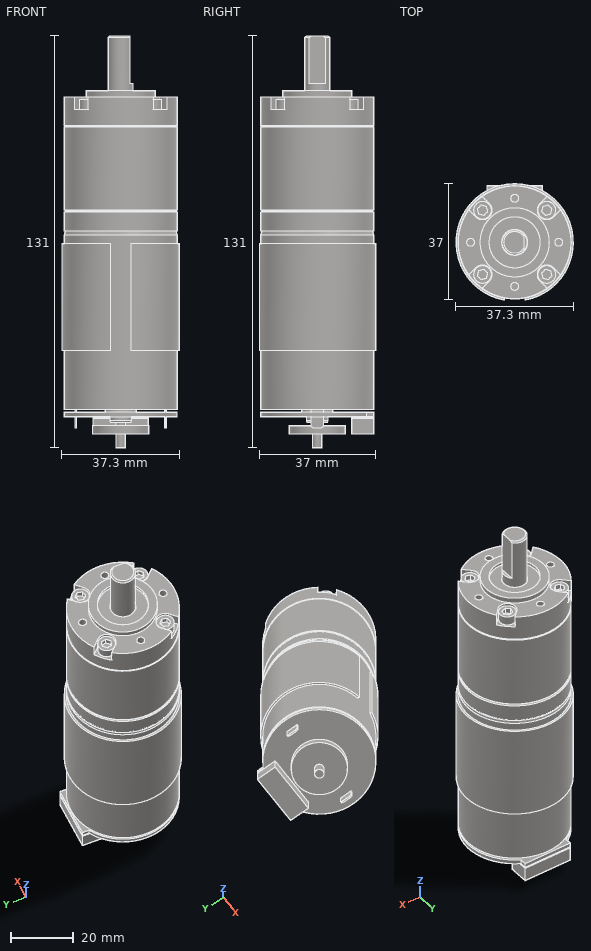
import cadquery as cq
import math


body_d = 36.0

shaft_d = 8.0
shaft_top = 131.0
shaft_chamfer = 0.5
shaft_flat_x = 3.0
shaft_flat_bottom = 116.0

flange_top = 111.6
flange_bottom = 102.0
pilot_d = 22.0
pilot_height = 2.0
recess_d = 16.2
recess_depth = 1.2
shaft_bore_d = 8.3
flange_groove_width = 0.4
flange_groove_depth = 0.1
ring_groove_top = 75.7
ring_groove_width = 0.8
ring_groove_depth = 0.4
gearbox_bottom = 68.9
mount_hole_d = 2.5
mount_hole_depth = 3.9
mount_circle_r = 14.0
screw_offset = 10.2
screw_head_d = 5.6
screw_socket_d = 3.4
screw_socket_depth = 2.0
screw_head_drop = 0.8
notch_width = 6.0
notch_depth = 4.0

motor_bottom = 12.2
motor_chamfer_height = 1.2
motor_chamfer_radial = 0.4
sleeve_d = 37.3
sleeve_top = 65.0
sleeve_bottom = 30.9
sleeve_slot_width = 6.5
rear_boss_d = 10.0
rear_collar_d = 7.0
rear_collar_bottom = 8.1
rear_collar_chamfer_height = 0.5
rear_collar_chamfer_radial = 0.3
motor_shaft_d = 3.0
magnet_d = 18.0
magnet_top = 7.1
magnet_bottom = 4.3
terminal_x = 14.3
terminal_thickness = 0.5
terminal_width = 4.0
terminal_bottom = 6.3
terminal_chamfer = 0.7

board_top = 11.4
board_bottom = 9.8
connector_width = 17.7
connector_depth = 7.1
connector_top = 9.4
connector_bottom = 4.3

body_r = body_d / 2
screw_circle_r = math.hypot(screw_offset, screw_offset)


def cylinder(diameter, bottom, top):
    """Solid cylinder on the Z axis between two heights."""
    return cq.Workplane("XY").workplane(offset=bottom).circle(diameter / 2).extrude(top - bottom)


def block(size_x, size_y, bottom, top, center_x=0.0, center_y=0.0):
    """Upright rectangular block between two heights."""
    return (
        cq.Workplane("XY")
        .workplane(offset=bottom)
        .center(center_x, center_y)
        .rect(size_x, size_y)
        .extrude(top - bottom)
    )


def groove(top, width, depth):
    """Ring-shaped cutter for a V groove around the main body."""
    profile = [(body_r, top), (body_r - depth, top - width / 2), (body_r, top - width)]
    return cq.Workplane("XZ").polyline(profile).close().revolve(360, (0, 0, 0), (0, 1, 0))


def screw_notch():
    """Round-ended cutter, open to the rim, lying on +X before it is turned into place."""
    bottom = flange_top - notch_depth
    round_end = cylinder(notch_width, bottom, flange_top).translate((screw_circle_r, 0, 0))
    open_end = block(body_r, notch_width, bottom, flange_top, screw_circle_r + body_r / 2)
    return round_end.union(open_end)


def screw_head():
    """Socket head, seated on the floor of its notch, on +X before it is turned into place."""
    head_top = flange_top - screw_head_drop
    head = cylinder(screw_head_d, flange_top - notch_depth, head_top)
    socket = (
        cq.Workplane("XY")
        .workplane(offset=head_top)
        .polygon(6, screw_socket_d)
        .extrude(-screw_socket_depth)
        .rotate((0, 0, 0), (0, 0, 1), 90)
    )
    return head.cut(socket).translate((screw_circle_r, 0, 0))


def make_gearbox():
    """Solid gearbox with front flange, pilot boss, shaft bore and screws."""
    pilot_top = flange_top + pilot_height
    gearbox = cylinder(body_d, gearbox_bottom, flange_top)
    gearbox = gearbox.cut(groove(flange_bottom + flange_groove_width, flange_groove_width, flange_groove_depth))
    gearbox = gearbox.cut(groove(ring_groove_top, ring_groove_width, ring_groove_depth))

    for turn in (45, 135, 225, 315):
        gearbox = gearbox.cut(screw_notch().rotate((0, 0, 0), (0, 0, 1), turn))
        gearbox = gearbox.union(screw_head().rotate((0, 0, 0), (0, 0, 1), turn))

    gearbox = gearbox.union(cylinder(pilot_d, flange_top, pilot_top))
    gearbox = gearbox.cut(cylinder(recess_d, pilot_top - recess_depth, pilot_top))
    gearbox = gearbox.cut(cylinder(shaft_bore_d, flange_bottom, pilot_top))

    mount_holes = (
        cq.Workplane("XY")
        .workplane(offset=flange_top - mount_hole_depth)
        .polarArray(mount_circle_r, 0, 360, 4)
        .circle(mount_hole_d / 2)
        .extrude(mount_hole_depth)
    )
    return gearbox.cut(mount_holes)


def make_output_shaft():
    """D shaft standing on the floor of the gearbox bore."""
    shaft = cylinder(shaft_d, flange_bottom, shaft_top).faces(">Z").chamfer(shaft_chamfer)
    flat_cutter = block(shaft_d, shaft_d, shaft_flat_bottom, shaft_top, shaft_flat_x + shaft_d / 2)
    return shaft.cut(flat_cutter)


def terminal(x):
    """Flat solder tab with its two lower corners cut off."""
    tab = block(terminal_thickness, terminal_width, terminal_bottom, motor_bottom, x)
    return tab.faces("<Z").edges("|X").chamfer(terminal_chamfer)


def make_motor():
    """Motor can with its sleeve, rear bosses, shaft, encoder disc and terminals."""
    can = (
        cylinder(body_d, motor_bottom, gearbox_bottom)
        .faces(">Z")
        .edges()
        .chamfer(motor_chamfer_height, motor_chamfer_radial)
    )
    sleeve = cylinder(sleeve_d, sleeve_bottom, sleeve_top)
    sleeve = sleeve.cut(block(sleeve_slot_width, body_d, sleeve_bottom, sleeve_top, 0, -body_r))
    motor = can.union(sleeve)

    collar = (
        cylinder(rear_collar_d, rear_collar_bottom, motor_bottom)
        .faces("<Z")
        .edges()
        .chamfer(rear_collar_chamfer_height, rear_collar_chamfer_radial)
    )
    motor = motor.union(cylinder(rear_boss_d, board_top, motor_bottom))
    motor = motor.union(collar)
    motor = motor.union(cylinder(motor_shaft_d, 0, motor_bottom))
    motor = motor.union(cylinder(magnet_d, magnet_bottom, magnet_top))
    for side in (-1, 1):
        motor = motor.union(terminal(side * terminal_x))
    return motor


def make_encoder_board():
    """Round board with a square tab on +Y above the connector."""
    board = cylinder(body_d, board_bottom, board_top)
    board = board.union(block(connector_width, body_r, board_bottom, board_top, 0, body_r / 2))
    board = board.cut(cylinder(rear_collar_d, board_bottom, board_top))
    for side in (-1, 1):
        slot = block(terminal_thickness, terminal_width, board_bottom, board_top, side * terminal_x)
        board = board.cut(slot)
    return board


def make_connector():
    """Plug housing under the board tab, flush with the tab's +Y face."""
    connector_y = body_r - connector_depth / 2
    return block(connector_width, connector_depth, connector_bottom, connector_top, 0, connector_y)


gearbox = make_gearbox()
output_shaft = make_output_shaft()
motor = make_motor()
encoder_board = make_encoder_board()
connector = make_connector()

result = cq.Compound.makeCompound(
    [gearbox.val(), output_shaft.val(), motor.val(), encoder_board.val(), connector.val()]
)